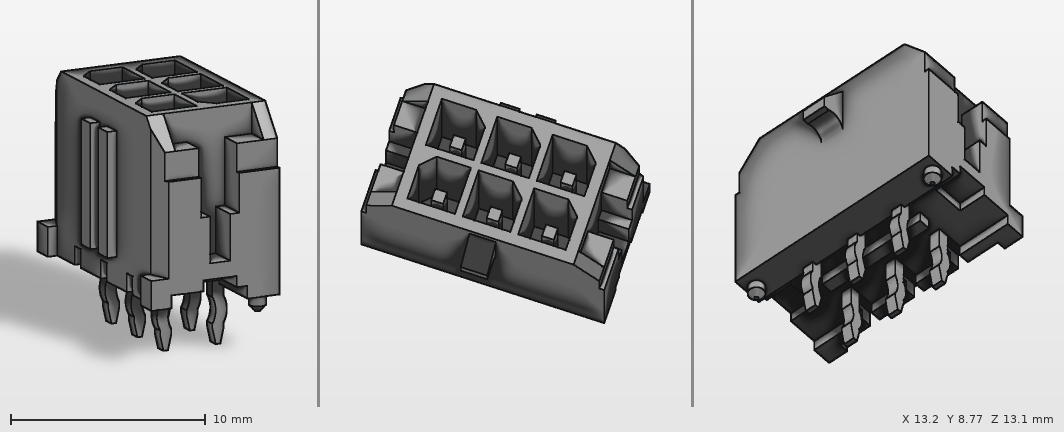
import cadquery as cq


LENGTH = 13.15
DEPTH = 6.81
HEIGHT = 9.9
FRONT = -DEPTH / 2
BACK = DEPTH / 2

CROWN_LENGTH = 9.84
LEDGE = 0.26
LEDGE_Z = 6.73
SHOULDER_Z = 8.25
CORNER_X = 1.17
CORNER_Y = 0.47

END_DEPTH = (LENGTH - CROWN_LENGTH) / 2
FRONT_GUSSET = 0.97
BACK_GUSSET = 0.78
UPPER_SLOT_WIDTH = 2.18
UPPER_SLOT_Z = 4.62
LOWER_SLOT_WIDTH = 1.16
LOWER_SLOT_Z = 2.13

PITCH = 3.0
COLUMNS = (-PITCH, 0, PITCH)
ROWS = (-PITCH / 2, PITCH / 2)
POCKET_SIDE = 2.58
POCKET_CORNER = 0.72
POCKET_FLOOR = LOWER_SLOT_Z

PIN_SIDE = 0.65
PIN_TOP = 7.23
TAIL_TIP_Z = -3.18
TAIL_TIP_THICKNESS = 0.26
TAIL_TAPER_Z = -2.34
BEND_TOP_Z = -0.66
BEND_BOTTOM_Z = -2.08
BEND_OFFSET = 0.18

FRONT_WALL = 0.63
BACK_WALL = 1.84
RECESS_FRONT = FRONT + FRONT_WALL
RECESS_BACK = BACK - BACK_WALL
RECESS_HEIGHT = 0.68
PIN_NOTCH_HEIGHT = 1.0
END_NOTCH_WIDTH = 1.9
END_NOTCH_HEIGHT = 1.28
STANDOFF_WIDTH = 0.68
STANDOFF_LENGTH = 2 * PITCH + PIN_SIDE

FRONT_PROJECTION = 0.54
FOOT_WIDTH = 1.22
FOOT_HEIGHT = 1.59
KEY_WIDTH = 1.04
KEY_SPACING = 1.95
KEY_TOP = 8.28

LATCH_WIDTH = 1.43
LATCH_REACH = 1.42
LATCH_TOP = 9.35
LATCH_NOSE_TOP = 7.7
LATCH_NOSE_BOTTOM = 6.98
LATCH_NOSE_FLAT = 0.35
LATCH_ROOT_Z = 6.46
LATCH_ARC_APEX_Y = 0.71
LATCH_ARC_APEX_Z = 7.06

PEG_DIAMETER = 0.91
PEG_X = 5.98
PEG_Y = 2.43
PEG_SHOULDER_Z = -0.54
PEG_TIP_Z = -0.9
PEG_TIP_DIAMETER = 0.24


def block(x_min, x_max, y_min, y_max, z_min, z_max):
    """Box given by its limits along each axis."""
    size = (x_max - x_min, y_max - y_min, z_max - z_min)
    return cq.Workplane("XY").box(*size, centered=False).translate((x_min, y_min, z_min))


def both_ends(shape):
    """The shape together with its mirror image at the opposite X end."""
    return shape.union(shape.mirror("YZ"))


def housing_block():
    """Stepped, sloped outline with the two front vertical corners cut away."""
    half = LENGTH / 2
    inset = half - LEDGE
    crown = CROWN_LENGTH / 2
    right_side = [(half, 0), (half, LEDGE_Z), (inset, LEDGE_Z), (inset, SHOULDER_Z), (crown, HEIGHT)]
    left_side = [(-x, z) for x, z in reversed(right_side)]
    outline = cq.Workplane("XZ").polyline(right_side + left_side).close()
    body = outline.extrude(DEPTH / 2, both=True)
    corner = (
        cq.Workplane("XY")
        .polyline([(half, FRONT), (half, FRONT + CORNER_Y), (half - CORNER_X, FRONT)])
        .close()
        .extrude(HEIGHT)
    )
    return body.cut(both_ends(corner))


def end_openings():
    """Shoulder flats between the gussets and the stepped slot below them."""
    outer = LENGTH / 2
    inner = outer - END_DEPTH
    flats = block(inner, outer, FRONT + FRONT_GUSSET, BACK - BACK_GUSSET, SHOULDER_Z, HEIGHT)
    upper_half = UPPER_SLOT_WIDTH / 2
    upper_slot = block(inner, outer, -upper_half, upper_half, UPPER_SLOT_Z, HEIGHT)
    lower_half = LOWER_SLOT_WIDTH / 2
    lower_slot = block(inner, outer, -lower_half, lower_half, LOWER_SLOT_Z, HEIGHT)
    return both_ends(flats.union(upper_slot).union(lower_slot))


def pocket(x, y, cut_corner):
    """Contact pocket whose chosen vertical edge is bevelled for polarisation."""
    return (
        cq.Workplane("XY", origin=(x, y, POCKET_FLOOR))
        .rect(POCKET_SIDE, POCKET_SIDE)
        .extrude(HEIGHT - POCKET_FLOOR)
        .edges(cut_corner)
        .chamfer(POCKET_CORNER)
    )


def contact(x, y):
    """Square pin with a bent, tapered solder tail bowed away from the other row."""
    outward = 1 if y > 0 else -1
    outer = y + outward * PIN_SIDE / 2
    inner = y - outward * PIN_SIDE / 2
    tip_shift = outward * TAIL_TIP_THICKNESS / 2
    bow = outward * BEND_OFFSET
    bend_middle_z = (BEND_TOP_Z + BEND_BOTTOM_Z) / 2
    return (
        cq.Workplane("YZ", origin=(x, 0, 0))
        .moveTo(outer, PIN_TOP)
        .lineTo(outer, BEND_TOP_Z)
        .threePointArc((outer + bow, bend_middle_z), (outer, BEND_BOTTOM_Z))
        .lineTo(outer, TAIL_TAPER_Z)
        .lineTo(y + tip_shift, TAIL_TIP_Z)
        .lineTo(y - tip_shift, TAIL_TIP_Z)
        .lineTo(inner, TAIL_TAPER_Z)
        .lineTo(inner, BEND_BOTTOM_Z)
        .threePointArc((inner + bow, bend_middle_z), (inner, BEND_TOP_Z))
        .lineTo(inner, PIN_TOP)
        .close()
        .extrude(PIN_SIDE / 2, both=True)
    )


def underside_openings():
    """Recess along the whole length, a notch at each end and one per front contact."""
    outer = LENGTH / 2
    recess = block(-outer, outer, RECESS_FRONT, RECESS_BACK, 0, RECESS_HEIGHT)
    notch_half = END_NOTCH_WIDTH / 2
    end_notch = block(outer - END_DEPTH, outer, -notch_half, notch_half, 0, END_NOTCH_HEIGHT)
    openings = recess.union(both_ends(end_notch))
    pin_half = PIN_SIDE / 2
    pin_front = ROWS[0] - PIN_SIDE / 2
    for x in COLUMNS:
        notch = block(x - pin_half, x + pin_half, FRONT, pin_front, 0, PIN_NOTCH_HEIGHT)
        openings = openings.union(notch)
    return openings


def standoff():
    """Rib along the middle of the recess, level with the housing underside."""
    half_length = STANDOFF_LENGTH / 2
    half_width = STANDOFF_WIDTH / 2
    return block(-half_length, half_length, -half_width, half_width, 0, RECESS_HEIGHT)


def front_foot():
    """Foot at one front corner, standing proud of the front face."""
    outer = LENGTH / 2
    return block(outer - FOOT_WIDTH, outer, FRONT - FRONT_PROJECTION, RECESS_FRONT, 0, FOOT_HEIGHT)


def front_key():
    """Upright key on the front face, one of a pair."""
    x_min = (KEY_SPACING - KEY_WIDTH) / 2
    return block(x_min, x_min + KEY_WIDTH, FRONT - FRONT_PROJECTION, FRONT, FOOT_HEIGHT, KEY_TOP)


def latch():
    """Ramped catch on the back face with an arched underside."""
    nose = BACK + LATCH_REACH
    return (
        cq.Workplane("YZ")
        .moveTo(BACK, LATCH_TOP)
        .lineTo(nose, LATCH_NOSE_TOP)
        .lineTo(nose, LATCH_NOSE_BOTTOM)
        .lineTo(nose - LATCH_NOSE_FLAT, LATCH_NOSE_BOTTOM)
        .threePointArc((BACK + LATCH_ARC_APEX_Y, LATCH_ARC_APEX_Z), (BACK, LATCH_ROOT_Z))
        .close()
        .extrude(LATCH_WIDTH / 2, both=True)
    )


def peg():
    """Round locating peg with a blunt conical point."""
    radius = PEG_DIAMETER / 2
    tip_radius = PEG_TIP_DIAMETER / 2
    profile = [(0, 0), (radius, 0), (radius, PEG_SHOULDER_Z), (tip_radius, PEG_TIP_Z), (0, PEG_TIP_Z)]
    turned = cq.Workplane("XZ").polyline(profile).close().revolve(360, (0, 0, 0), (0, 1, 0))
    return turned.translate((PEG_X, PEG_Y, 0))


result = housing_block().cut(end_openings()).cut(underside_openings())

for row_y in ROWS:
    for column_x in COLUMNS:
        is_last_back = row_y == ROWS[-1] and column_x == COLUMNS[-1]
        keyed_edge = "|Z and >X and <Y" if is_last_back else "|Z and <X and <Y"
        result = result.cut(pocket(column_x, row_y, keyed_edge))

for feature in (front_foot(), front_key(), peg()):
    result = result.union(both_ends(feature))

result = result.union(standoff()).union(latch())

for row_y in ROWS:
    for column_x in COLUMNS:
        result = result.union(contact(column_x, row_y))